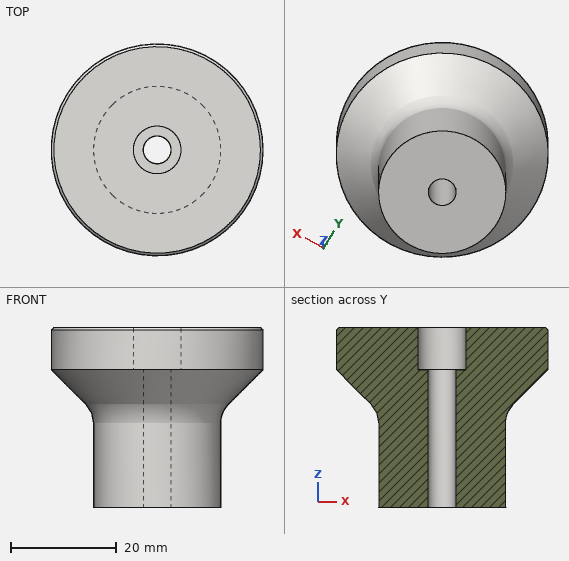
import cadquery as cq

total_height = 34.0
head_diameter = 40.0
stem_diameter = 24.0

rim_height = 8.0
rim_chamfer = 0.5
neck_fillet = 5.0

bore_diameter = 5.2
counterbore_diameter = 9.0
counterbore_depth = rim_height

head_radius = head_diameter / 2
stem_radius = stem_diameter / 2
rim_bottom = total_height - rim_height
cone_bottom = rim_bottom - (head_radius - stem_radius)


def make_body():
    """Revolve the stem, cone and rim, then blend the neck and break the top edge."""
    body = (
        cq.Workplane("XZ")
        .lineTo(stem_radius, 0)
        .lineTo(stem_radius, cone_bottom)
        .lineTo(head_radius, rim_bottom)
        .lineTo(head_radius, total_height)
        .lineTo(0, total_height)
        .close()
        .revolve(360, (0, 0), (0, 1))
    )
    neck_edge = cq.selectors.NearestToPointSelector((0, 0, cone_bottom))
    body = body.edges("%CIRCLE").edges(neck_edge).fillet(neck_fillet)
    return body.faces(">Z").edges().chamfer(rim_chamfer)


def cut_stepped_bore(body):
    """Bore through the axis, with a deep counterbore from the top face."""
    return body.faces(">Z").workplane().cboreHole(
        bore_diameter, counterbore_diameter, counterbore_depth
    )


result = cut_stepped_bore(make_body())